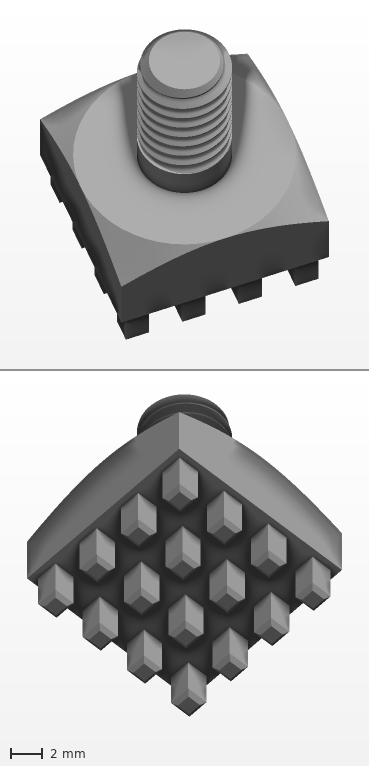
import cadquery as cq
import math

head_width = 14.0
head_height = 5.5
crown_angle = 30

pins_per_side = 4
pin_width = 1.57
pin_length = 3.0
pin_margin = 0.5
pin_chamfer = 0.3

total_height = 18.5
stud_diameter = 6.0
shank_length = 2.0
tip_chamfer = 0.75

pitch = 1.0
crest_flat = pitch / 8
root_flat = pitch / 4
flank_angle = 30
flank_tangent = math.tan(math.radians(flank_angle))
thread_depth = (pitch - crest_flat - root_flat) / 2 / flank_tangent
groove_turns = 10
groove_phase = 198
groove_overcut = 0.05
rod_allowance = 1.85

head_bottom = pin_length
head_top = head_bottom + head_height
thread_bottom = head_top + shank_length
stud_radius = stud_diameter / 2


def make_head():
    """Square block whose corners are cut by a cone, leaving a round top face."""
    block = cq.Workplane("XY", origin=(0, 0, head_bottom)).rect(head_width, head_width).extrude(head_height)
    top_radius = head_width / 2
    slope = math.tan(math.radians(crown_angle))
    cone_radius = top_radius + head_height / slope
    crown = (
        cq.Workplane("XZ")
        .polyline([(0, head_bottom), (cone_radius, head_bottom), (top_radius, head_top), (0, head_top)])
        .close()
        .revolve(360, (0, 0), (0, 1))
    )
    return block.intersect(crown)


def make_pins():
    """Grid of square pins with chamfered lower ends."""
    pin_pitch = (head_width - 2 * pin_margin - pin_width) / (pins_per_side - 1)
    return (
        cq.Workplane("XY")
        .rarray(pin_pitch, pin_pitch, pins_per_side, pins_per_side)
        .rect(pin_width, pin_width)
        .extrude(pin_length)
        .faces("<Z")
        .chamfer(pin_chamfer)
    )


def make_shank():
    """Plain cylinder between the head and the thread."""
    return cq.Workplane("XY", origin=(0, 0, head_top)).circle(stud_radius).extrude(shank_length)


def make_groove():
    """Right-handed helical cutter with a trapezoidal profile, running out past the tip."""
    root_radius = stud_radius - thread_depth
    outer_radius = stud_radius + groove_overcut
    half_root = root_flat / 2
    half_outer = half_root + (outer_radius - root_radius) * flank_tangent
    groove_height = groove_turns * pitch
    helix = cq.Wire.makeHelix(pitch, groove_height, root_radius)
    cutter = (
        cq.Workplane("XZ")
        .polyline(
            [
                (root_radius, -half_root),
                (outer_radius, -half_outer),
                (outer_radius, half_outer),
                (root_radius, half_root),
            ]
        )
        .close()
        .sweep(cq.Workplane(obj=helix), isFrenet=True)
    )
    groove_start = total_height + pitch - groove_height
    return cutter.rotate((0, 0, 0), (0, 0, 1), groove_phase).translate((0, 0, groove_start))


def make_thread():
    """Grooved rod whose upper end is trimmed flat and beveled at 45 degrees."""
    grooved_rod = (
        cq.Workplane("XY", origin=(0, 0, thread_bottom))
        .circle(stud_radius)
        .extrude(total_height - thread_bottom + rod_allowance)
        .cut(make_groove())
    )
    envelope_radius = stud_radius + rod_allowance
    tip_radius = stud_radius - tip_chamfer
    bevel_bottom = total_height - (envelope_radius - tip_radius)
    envelope = (
        cq.Workplane("XZ")
        .moveTo(0, head_top)
        .lineTo(envelope_radius, head_top)
        .lineTo(envelope_radius, bevel_bottom)
        .lineTo(tip_radius, total_height)
        .lineTo(0, total_height)
        .close()
        .revolve(360, (0, 0), (0, 1))
    )
    return grooved_rod.intersect(envelope)


result = make_head().union(make_pins()).union(make_shank()).union(make_thread())